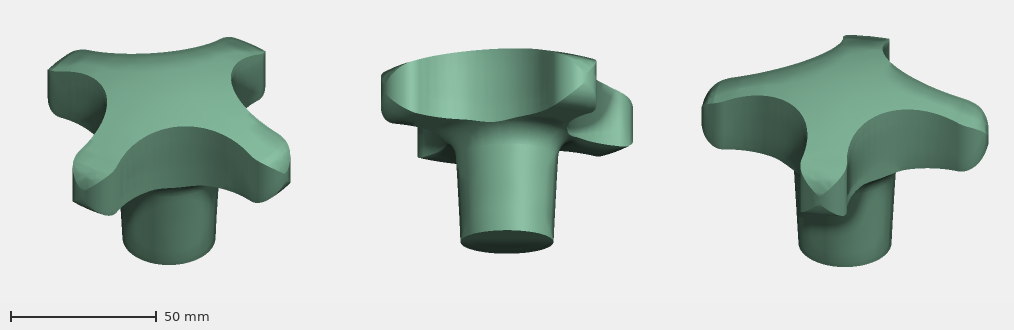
import cadquery as cq
import math

span = 100.0
height = 65.0
head_bottom = 38.0
dome_radius = 118.0

stem_bottom_radius = 16.0
stem_taper = math.radians(3)
flare_radius = 8.0

arm_count = 4
tip_radius = 8.0
scallop_offset = 35.0
edge_fillet = 8.0

head_radius = span / 2
tip_center = head_radius - tip_radius
scallop_radius = math.hypot(scallop_offset, scallop_offset - tip_center) - tip_radius


def dome_height(radius):
    """Height of the domed top at a given distance from the axis."""
    return height - dome_radius + math.sqrt(dome_radius**2 - radius**2)


def make_turned_body():
    """Stem, flare and domed head as one revolved profile."""
    stem_height = head_bottom - flare_radius * (1 - math.sin(stem_taper))
    stem_top_radius = stem_bottom_radius + stem_height * math.tan(stem_taper)
    flare_center_radius = stem_top_radius + flare_radius * math.cos(stem_taper)
    flare_mid = (
        flare_center_radius - flare_radius * math.sqrt(0.5),
        head_bottom - flare_radius * (1 - math.sqrt(0.5)),
    )
    dome_mid_radius = head_radius / 2
    body = (
        cq.Workplane("XZ")
        .lineTo(stem_bottom_radius, 0)
        .lineTo(stem_top_radius, stem_height)
        .threePointArc(flare_mid, (flare_center_radius, head_bottom))
        .lineTo(head_radius, head_bottom)
        .lineTo(head_radius, dome_height(head_radius))
        .threePointArc((dome_mid_radius, dome_height(dome_mid_radius)), (0, height))
        .close()
        .revolve(360, (0, 0, 0), (0, 1, 0))
    )
    rims = cq.selectors.RadiusNthSelector(-2)
    return body.edges("%CIRCLE").edges(rims).fillet(edge_fillet)


def make_cross_prism():
    """Upright prism with four round-ended arms and concave scallops between them."""
    reach = tip_radius / (tip_radius + scallop_radius)
    tangent_x = tip_center + reach * (scallop_offset - tip_center)
    tangent_y = reach * scallop_offset
    valley = scallop_offset - scallop_radius * math.sqrt(0.5)

    def turned(x, y, quarter):
        angle = quarter * 2 * math.pi / arm_count
        cos, sin = math.cos(angle), math.sin(angle)
        return (x * cos - y * sin, x * sin + y * cos)

    outline = cq.Workplane("XY").moveTo(tangent_x, -tangent_y)
    for arm in range(arm_count):
        outline = outline.threePointArc(
            turned(head_radius, 0, arm), turned(tangent_x, tangent_y, arm)
        )
        outline = outline.threePointArc(
            turned(valley, valley, arm), turned(tangent_x, -tangent_y, arm + 1)
        )
    return outline.close().extrude(height)


result = make_turned_body().intersect(make_cross_prism())